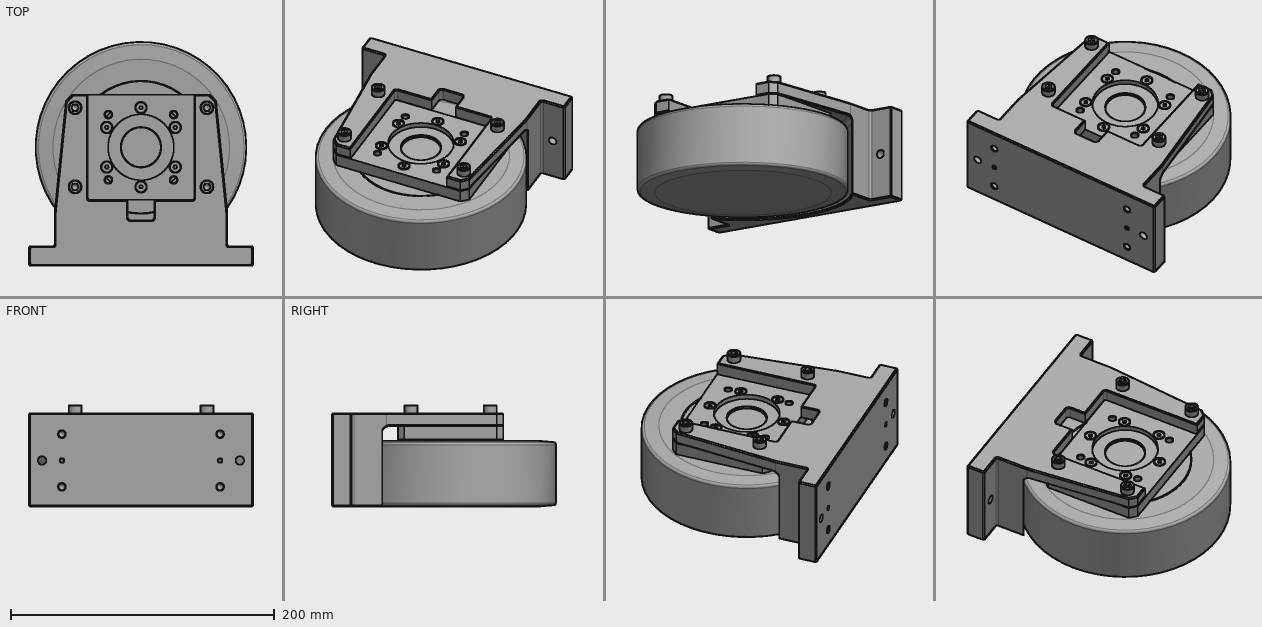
import cadquery as cq
import math

WHEEL_RADIUS = 80
WHEEL_HEIGHT = 50
WHEEL_CORNER = 2
CROWN_RISE = 1
CROWN_FLAT_RADIUS = 67
GROOVE_OUTER_RADIUS = 50.5
GROOVE_WIDTH = 0.5
GROOVE_DEPTH = 1
HUB_RADIUS = 35

BLOCK_BOTTOM = 51
BLOCK_TOP = 61
BLOCK_LENGTH = 80
BLOCK_WIDTH = 114
BLOCK_CORNER = 5
RECESS_RADIUS = 25
RECESS_DEPTH = 4
BORE_RADIUS = 15
BORE_DEPTH = 2
BORE_CHAMFER = 0.4

BRACKET_TOP = 71
EDGE_CHAMFER = 1
FLANGE_WIDTH = 170
FLANGE_BACK = -90
FLANGE_THICKNESS = 15
FLANGE_ROOT_FILLET = 1.5
COLUMN_HALF_WIDTH = 65.5
TAPER_START = -49
WHEEL_WELL_RADIUS = 83
WHEEL_WELL_FILLET = 4

WINDOW_HALF_WIDTH = 40.4
WINDOW_CLEARANCE = 0.25
WINDOW_BACK = -BLOCK_LENGTH / 2 - WINDOW_CLEARANCE
WINDOW_FILLET = 2
SLOT_HALF_WIDTH = 10
SLOT_BACK = -55.5
SLOT_FILLET = 2.5
OPENING_CHAMFER = 0.75

CAP_SCREW_X = 50
CAP_SCREW_Y = 30
CAP_HEAD_DIAMETER = 10
CAP_HEAD_HEIGHT = 6
CAP_HEAD_CHAMFER = 0.5
SOCKET_FLATS = 5
SOCKET_DEPTH = 3

FLAT_SCREW_CIRCLE = 30
FLAT_SCREW_COUNT = 6
FLAT_HEAD_DIAMETER = 8
FLAT_SEAT_DIAMETER = 8.9
FLAT_SEAT_DEPTH = 0.5
FLAT_SOCKET_FLATS = 2.5
FLAT_SOCKET_DEPTH = 1.5

TAPPED_DIAMETER = 4.97
TAPPED_MOUTH = 6
TAPPED_DEPTH = 12
BLOCK_HOLE_CIRCLE = 35
PIN_DIAMETER = 3
PIN_MOUTH = 3.6
PIN_DEPTH = 8
BOLT_DIAMETER = 6.4
DRILL_POINT_ANGLE = 118

FLANGE_ROW_Z = 35
TAPPED_ROW_OFFSET = 20
TAPPED_X = 60
BOLT_X = 75


def cylinder(radius, bottom, top):
    return cq.Workplane("XY").workplane(offset=bottom).circle(radius).extrude(top - bottom)


def hex_prism(across_flats, depth):
    """Hexagonal socket cutter along -Z from the origin."""
    across_corners = across_flats / math.cos(math.pi / 6)
    return cq.Workplane("XY").polygon(6, across_corners).extrude(-depth)


def drill_point(diameter, depth):
    """Cone pointing along -Z, its base at the given depth below the origin."""
    radius = diameter / 2
    length = radius / math.tan(math.radians(DRILL_POINT_ANGLE / 2))
    base = cq.Vector(0, 0, -depth)
    return cq.Workplane("XY").add(cq.Solid.makeCone(radius, 0, length, base, cq.Vector(0, 0, -1)))


def through_hole(diameter, mouth, depth):
    """Flat-ended hole cutter along -Z from the origin, with a 45 degree mouth."""
    mouth_depth = (mouth - diameter) / 2
    shaft = cylinder(diameter / 2, -depth, 0)
    cone = cq.Solid.makeCone(mouth / 2, diameter / 2, mouth_depth, cq.Vector(0, 0, 0), cq.Vector(0, 0, -1))
    return shaft.union(cq.Workplane("XY").add(cone))


def blind_hole(diameter, mouth, depth):
    """As through_hole, with a drill point at the bottom."""
    return through_hole(diameter, mouth, depth).union(drill_point(diameter, depth))


def make_wheel():
    rim = WHEEL_RADIUS - WHEEL_CORNER
    low = CROWN_RISE
    high = WHEEL_HEIGHT - CROWN_RISE
    bulge = WHEEL_CORNER * (1 - math.sqrt(0.5))
    wheel = (
        cq.Workplane("XZ")
        .lineTo(CROWN_FLAT_RADIUS, 0)
        .lineTo(rim, low)
        .threePointArc((WHEEL_RADIUS - bulge, low + bulge), (WHEEL_RADIUS, low + WHEEL_CORNER))
        .lineTo(WHEEL_RADIUS, high - WHEEL_CORNER)
        .threePointArc((WHEEL_RADIUS - bulge, high - bulge), (rim, high))
        .lineTo(CROWN_FLAT_RADIUS, WHEEL_HEIGHT)
        .lineTo(0, WHEEL_HEIGHT)
        .close()
        .revolve(360, (0, 0, 0), (0, 1, 0))
    )
    groove = (
        cq.Workplane("XY")
        .workplane(offset=WHEEL_HEIGHT - GROOVE_DEPTH)
        .circle(GROOVE_OUTER_RADIUS)
        .circle(GROOVE_OUTER_RADIUS - GROOVE_WIDTH)
        .extrude(GROOVE_DEPTH)
    )
    hub = cylinder(HUB_RADIUS, WHEEL_HEIGHT, BLOCK_BOTTOM)
    return wheel.cut(groove).union(hub)


def make_block():
    block = (
        cq.Workplane("XY")
        .workplane(offset=BLOCK_BOTTOM)
        .rect(BLOCK_WIDTH, BLOCK_LENGTH)
        .extrude(BLOCK_TOP - BLOCK_BOTTOM)
        .edges("|Z")
        .chamfer(BLOCK_CORNER)
    )
    recess_floor = BLOCK_TOP - RECESS_DEPTH
    block = block.cut(cylinder(RECESS_RADIUS, recess_floor, BLOCK_TOP))
    bore = cylinder(BORE_RADIUS, recess_floor - BORE_DEPTH, recess_floor)
    block = block.cut(bore)
    chamfer_start = cq.Vector(0, 0, recess_floor - BORE_CHAMFER)
    mouth = cq.Solid.makeCone(BORE_RADIUS, BORE_RADIUS + BORE_CHAMFER, BORE_CHAMFER, chamfer_start)
    block = block.cut(cq.Workplane("XY").add(mouth))

    top_plane = cq.Workplane("XY").workplane(offset=BLOCK_TOP)

    for index in range(FLAT_SCREW_COUNT):
        angle = math.radians(90 + index * 360 / FLAT_SCREW_COUNT)
        x = FLAT_SCREW_CIRCLE * math.cos(angle)
        y = FLAT_SCREW_CIRCLE * math.sin(angle)
        seat = (
            top_plane.center(x, y)
            .circle(FLAT_SEAT_DIAMETER / 2)
            .circle(FLAT_HEAD_DIAMETER / 2)
            .extrude(-FLAT_SEAT_DEPTH)
        )
        socket = hex_prism(FLAT_SOCKET_FLATS, FLAT_SOCKET_DEPTH).translate((x, y, BLOCK_TOP))
        block = block.cut(seat).cut(socket)

    hole = through_hole(TAPPED_DIAMETER, TAPPED_MOUTH, BLOCK_TOP - BLOCK_BOTTOM)
    offset = BLOCK_HOLE_CIRCLE * math.sqrt(0.5)
    for side_x in (-1, 1):
        for side_y in (-1, 1):
            block = block.cut(hole.translate((side_x * offset, side_y * offset, BLOCK_TOP)))
    return block


def opening(half_width, back, front, fillet):
    """Cutter through the arm with its two back corners rounded."""
    return (
        cq.Workplane("XY")
        .workplane(offset=BLOCK_TOP)
        .moveTo(0, (back + front) / 2)
        .rect(2 * half_width, front - back)
        .extrude(BRACKET_TOP - BLOCK_TOP)
        .edges("|Z and <Y")
        .fillet(fillet)
    )


def chamfer_well_rim(body):
    """Break the straight edges of the arm underside, the base and the column at the wheel well."""
    arm_underside = cq.selectors.NearestToPointSelector((0, 0, BLOCK_TOP))
    body = body.faces(arm_underside).edges("%LINE").chamfer(EDGE_CHAMFER)
    body = body.faces("<Z").edges().chamfer(EDGE_CHAMFER)
    jamb_y = -math.sqrt(WHEEL_WELL_RADIUS**2 - COLUMN_HALF_WIDTH**2)
    reach = FLANGE_WIDTH / 2
    jambs = cq.selectors.BoxSelector(
        (-reach, jamb_y - EDGE_CHAMFER, 0),
        (reach, jamb_y + EDGE_CHAMFER, BLOCK_TOP - WHEEL_WELL_FILLET),
    )
    return body.edges("|Z").edges(jambs).chamfer(EDGE_CHAMFER)


def make_bracket():
    flange_front = FLANGE_BACK + FLANGE_THICKNESS
    half_flange = FLANGE_WIDTH / 2
    arm_end = BLOCK_LENGTH / 2
    arm_half_width = BLOCK_WIDTH / 2
    right_side = [
        (half_flange, FLANGE_BACK),
        (half_flange, flange_front),
        (COLUMN_HALF_WIDTH, flange_front),
        (COLUMN_HALF_WIDTH, TAPER_START),
        (arm_half_width, arm_end - BLOCK_CORNER),
        (arm_half_width - BLOCK_CORNER, arm_end),
    ]
    left_side = [(-x, y) for x, y in reversed(right_side)]
    body = cq.Workplane("XY").polyline(right_side + left_side).close().extrude(BRACKET_TOP)

    body = body.edges("|Z and (>X or <X)").chamfer(EDGE_CHAMFER)
    for side in (-1, 1):
        root = cq.selectors.NearestToPointSelector(
            (side * COLUMN_HALF_WIDTH, flange_front, BRACKET_TOP / 2)
        )
        body = body.edges("|Z").edges(root).fillet(FLANGE_ROOT_FILLET)
    body = body.faces(">Z").edges().chamfer(EDGE_CHAMFER)

    well = cylinder(WHEEL_WELL_RADIUS, 0, BLOCK_TOP).faces(">Z").edges().fillet(WHEEL_WELL_FILLET)
    body = body.cut(well)

    body = chamfer_well_rim(body)

    window = opening(WINDOW_HALF_WIDTH, WINDOW_BACK, arm_end, WINDOW_FILLET)
    slot = opening(SLOT_HALF_WIDTH, SLOT_BACK, 0, SLOT_FILLET)
    body = body.cut(window.union(slot))
    margin = OPENING_CHAMFER / 4
    rim = cq.selectors.BoxSelector(
        (-WINDOW_HALF_WIDTH - margin, SLOT_BACK - margin, BRACKET_TOP - margin),
        (WINDOW_HALF_WIDTH + margin, arm_end - EDGE_CHAMFER - margin, BRACKET_TOP + margin),
    )
    body = body.edges(rim).chamfer(OPENING_CHAMFER)
    return cut_flange_holes(body)


def cut_flange_holes(body):
    tapped = blind_hole(TAPPED_DIAMETER, TAPPED_MOUTH, TAPPED_DEPTH)
    tapped = tapped.rotate((0, 0, 0), (1, 0, 0), 90)
    pin = blind_hole(PIN_DIAMETER, PIN_MOUTH, PIN_DEPTH).rotate((0, 0, 0), (1, 0, 0), 90)
    bolt = cylinder(BOLT_DIAMETER / 2, -FLANGE_THICKNESS, 0).rotate((0, 0, 0), (1, 0, 0), 90)
    for side in (-1, 1):
        for row in (-1, 1):
            height = FLANGE_ROW_Z + row * TAPPED_ROW_OFFSET
            body = body.cut(tapped.translate((side * TAPPED_X, FLANGE_BACK, height)))
        body = body.cut(pin.translate((side * TAPPED_X, FLANGE_BACK, FLANGE_ROW_Z)))
        body = body.cut(bolt.translate((side * BOLT_X, FLANGE_BACK, FLANGE_ROW_Z)))
    return body


def make_cap_screw_head():
    head_top = BRACKET_TOP + CAP_HEAD_HEIGHT
    head = cylinder(CAP_HEAD_DIAMETER / 2, BRACKET_TOP, head_top)
    head = head.faces(">Z").edges().chamfer(CAP_HEAD_CHAMFER)
    socket = hex_prism(SOCKET_FLATS, SOCKET_DEPTH).union(drill_point(SOCKET_FLATS, SOCKET_DEPTH))
    return head.cut(socket.translate((0, 0, head_top)))


result = make_wheel().union(make_block()).union(make_bracket())
head = make_cap_screw_head()
for side_x in (-1, 1):
    for side_y in (-1, 1):
        result = result.union(head.translate((side_x * CAP_SCREW_X, side_y * CAP_SCREW_Y, 0)))